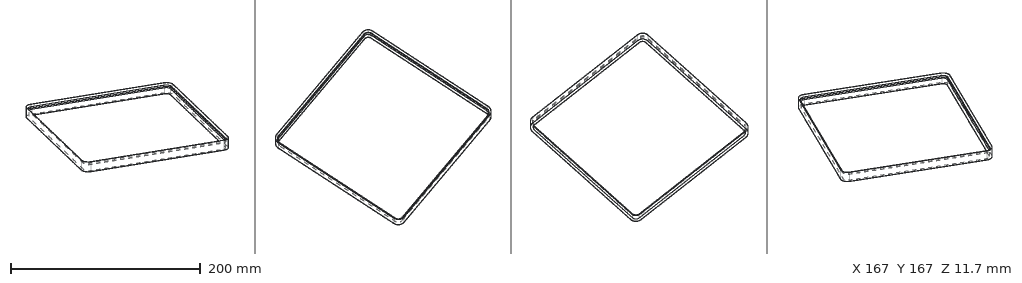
import cadquery as cq
import math

side = 167.0
height = 11.7
corner_radius = 7.7

upper_bevel_width = 2.0
upper_bevel_drop = upper_bevel_width
step_height = 1.7
lower_bevel_width = 1.0
lower_bevel_drop = lower_bevel_width

wall = upper_bevel_width + lower_bevel_width
step_top = height - upper_bevel_drop
step_bottom = step_top - step_height
inner_wall_top = step_bottom - lower_bevel_drop


def rounded_square(inset, bottom, top, growth=0.0):
    """Solid inset from the outer wall, widening by growth per side as it rises."""
    width = side - 2 * inset
    depth = top - bottom
    profile = cq.Sketch().rect(width, width).vertices().fillet(corner_radius - inset)
    flare = math.degrees(math.atan2(growth, depth))
    return cq.Workplane("XY").workplane(offset=bottom).placeSketch(profile).extrude(depth, taper=-flare)


body = rounded_square(0, 0, height)
inner_opening = rounded_square(wall, 0, inner_wall_top)
lower_bevel = rounded_square(wall, inner_wall_top, step_bottom, lower_bevel_width)
step_opening = rounded_square(upper_bevel_width, step_bottom, step_top)
upper_bevel = rounded_square(upper_bevel_width, step_top, height, upper_bevel_width)

result = body.cut(inner_opening).cut(lower_bevel).cut(step_opening).cut(upper_bevel)